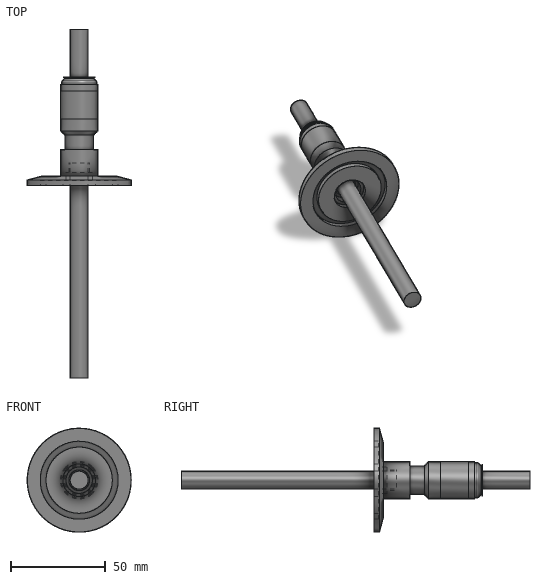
import cadquery as cq
import math


rod_diameter = 9.525
rod_length = 184.15
rod_front_reach = 101.6

flange_diameter = 55.0
flange_rim_thickness = 3.0
flange_thickness = 5.0
flange_taper_angle = 15.0
recess_outer_diameter = 41.2
recess_inner_diameter = 35.0
recess_depth = 2.6

body_diameter = 19.7
hub_end = 19.05
neck_diameter = 15.2
neck_end = 26.7

nut_chamfer = (body_diameter - neck_diameter) / 2
band_start = 35.2
band_end = 50.1
band_diameter = 19.8
nut_end = 53.3
collar_diameter = 18.7
collar_end = 54.28
shoulder_radius = 1.8
button_neck_diameter = 15.4
button_diameter = 16.5
button_thickness = 0.2
cap_end = 57.3

bore_diameter = 17.3
bore_depth = 2.6
inner_bore_diameter = 14.0
inner_bore_depth = 7.0
clearance_diameter = 11.0
clearance_depth = 12.0


def turned(outline):
    """Revolve a closed (radius, axial) outline about the Y axis."""
    return cq.Workplane("XY").polyline(outline).close().revolve(360, (0, 0, 0), (0, 1, 0))


def cylinder(diameter, start, end):
    """Solid cylinder along Y between two axial positions."""
    radius = diameter / 2
    return turned([(0, start), (radius, start), (radius, end), (0, end)])


def ring(outer_diameter, inner_diameter, start, end):
    """Plain ring along Y between two axial positions."""
    return cylinder(outer_diameter, start, end).cut(cylinder(inner_diameter, start, end))


def make_flange():
    rim = flange_diameter / 2
    taper_height = flange_thickness - flange_rim_thickness
    taper_width = taper_height / math.tan(math.radians(flange_taper_angle))
    blank = turned([
        (0, 0),
        (rim, 0),
        (rim, flange_rim_thickness),
        (rim - taper_width, flange_thickness),
        (0, flange_thickness),
    ])
    return blank.cut(ring(recess_outer_diameter, recess_inner_diameter, 0, recess_depth))


def make_cap_nut():
    body = body_diameter / 2
    nut = turned([
        (0, neck_end),
        (neck_diameter / 2, neck_end),
        (body, neck_end + nut_chamfer),
        (body, nut_end),
        (0, nut_end),
    ])
    return nut.union(cylinder(band_diameter, band_start, band_end))


def make_collar():
    """Collar with a rounded shoulder, a 45 degree cone and a thin release button at the tip."""
    collar = collar_diameter / 2
    button_neck = button_neck_diameter / 2
    button = button_diameter / 2
    button_start = cap_end - button_thickness

    arc_center_radius = collar - shoulder_radius
    arc_end = math.radians(45)
    arc_middle = arc_end / 2
    cone_start_radius = arc_center_radius + shoulder_radius * math.cos(arc_end)
    cone_start = collar_end + shoulder_radius * math.sin(arc_end)
    cone_end = cone_start + cone_start_radius - button_neck

    profile = (
        cq.Workplane("XY")
        .moveTo(0, nut_end)
        .lineTo(collar, nut_end)
        .lineTo(collar, collar_end)
        .threePointArc(
            (
                arc_center_radius + shoulder_radius * math.cos(arc_middle),
                collar_end + shoulder_radius * math.sin(arc_middle),
            ),
            (cone_start_radius, cone_start),
        )
        .lineTo(button_neck, cone_end)
        .lineTo(button_neck, button_start)
        .lineTo(button, button_start)
        .lineTo(button, cap_end)
        .lineTo(0, cap_end)
        .close()
    )
    return profile.revolve(360, (0, 0, 0), (0, 1, 0))


def make_bore():
    bore = cylinder(bore_diameter, 0, bore_depth)
    bore = bore.union(cylinder(inner_bore_diameter, 0, inner_bore_depth))
    return bore.union(cylinder(clearance_diameter, 0, clearance_depth))


housing = make_flange()
housing = housing.union(cylinder(body_diameter, flange_thickness, hub_end))
housing = housing.union(cylinder(neck_diameter, hub_end, neck_end))
housing = housing.union(make_cap_nut())
housing = housing.union(make_collar())
housing = housing.cut(make_bore())

rod = cylinder(rod_diameter, -rod_front_reach, rod_length - rod_front_reach)
result = housing.union(rod)